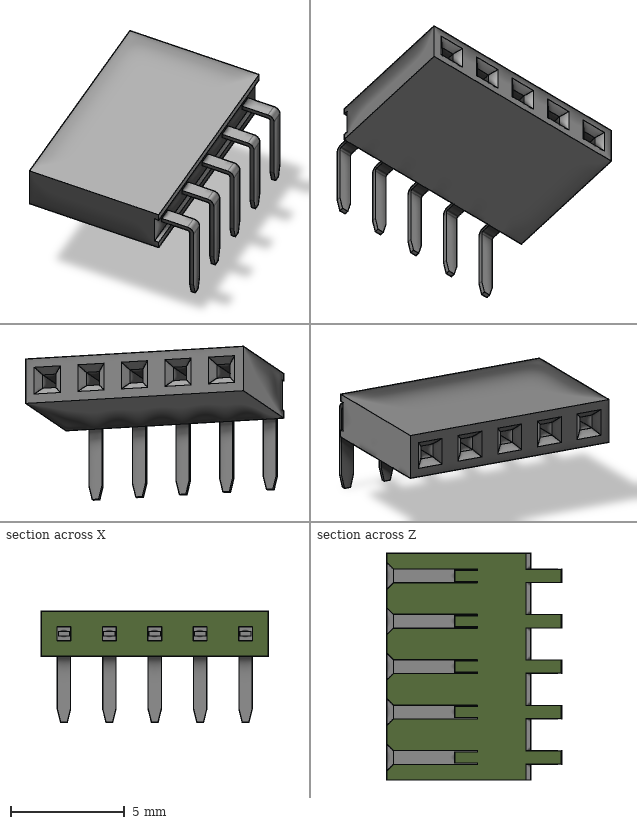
import cadquery as cq


position_count = 5
pitch = 2.0
housing_length = 6.35
housing_width = position_count * pitch
housing_height = 2.0
rear_recess_depth = 0.2
rear_lip_height = 0.33

mouth_size = 1.2
cavity_size = 0.6
mouth_depth = 0.3
cavity_depth = 4.0

overall_length = 7.72
overall_height = 4.9
pin_width = 0.6
pin_thickness = 0.2
bend_outer_radius = 0.3
bend_inner_radius = bend_outer_radius - pin_thickness
tip_width = 0.3
tip_length = 0.6
blade_width = 0.5
blade_length = 1.0

rear_wall_x = housing_length - rear_recess_depth
pin_top_z = pin_thickness / 2
pin_bottom_z = housing_height / 2 - overall_height
tail_inner_x = overall_length - pin_thickness
row_positions = [(i - (position_count - 1) / 2) * pitch for i in range(position_count)]


def box_from(x_start, x_end, width, height):
    """Box spanning X from x_start to x_end, centred on Y and Z."""
    length = x_end - x_start
    return cq.Workplane("XY").box(length, width, height).translate((x_start + length / 2, 0, 0))


def make_housing():
    """Block with a shallow channel running across its rear face."""
    block = box_from(0, housing_length, housing_width, housing_height)
    channel = box_from(rear_wall_x, housing_length, housing_width, housing_height - 2 * rear_lip_height)
    return block.cut(channel)


def make_opening():
    """Square cavity behind a tapered lead-in."""
    lead_in = (
        cq.Workplane("YZ")
        .rect(mouth_size, mouth_size)
        .workplane(offset=mouth_depth)
        .rect(cavity_size, cavity_size)
        .loft(ruled=True)
    )
    return lead_in.union(box_from(mouth_depth, cavity_depth, cavity_size, cavity_size))


def make_tail():
    """Flat strip leaving the housing rearward, bent down and tapered at its tip."""
    strip = (
        cq.Workplane("XZ")
        .moveTo(cavity_depth, pin_top_z)
        .lineTo(overall_length, pin_top_z)
        .lineTo(overall_length, pin_bottom_z)
        .lineTo(tail_inner_x, pin_bottom_z)
        .lineTo(tail_inner_x, -pin_top_z)
        .lineTo(cavity_depth, -pin_top_z)
        .close()
        .extrude(pin_width / 2, both=True)
    )
    strip = strip.edges("|Y").edges(">X and >Z").fillet(bend_outer_radius)
    inner_corner = cq.selectors.NearestToPointSelector((tail_inner_x, 0, -pin_top_z))
    strip = strip.edges("|Y").edges(inner_corner).fillet(bend_inner_radius)

    tip_top_z = pin_bottom_z + tip_length
    for side in (-1, 1):
        corner = (
            cq.Workplane("YZ", origin=(tail_inner_x, 0, 0))
            .moveTo(side * pin_width / 2, tip_top_z)
            .lineTo(side * pin_width / 2, pin_bottom_z)
            .lineTo(side * tip_width / 2, pin_bottom_z)
            .close()
            .extrude(pin_thickness)
        )
        strip = strip.cut(corner)
    return strip


def make_contact():
    """Bent tail plus the narrower blade standing on the cavity floor."""
    blade = box_from(cavity_depth - blade_length, cavity_depth, blade_width, pin_thickness)
    return make_tail().union(blade)


opening = make_opening()
contact = make_contact()

result = make_housing()
for y in row_positions:
    result = result.cut(opening.translate((0, y, 0)))
    result = result.union(contact.translate((0, y, 0)))